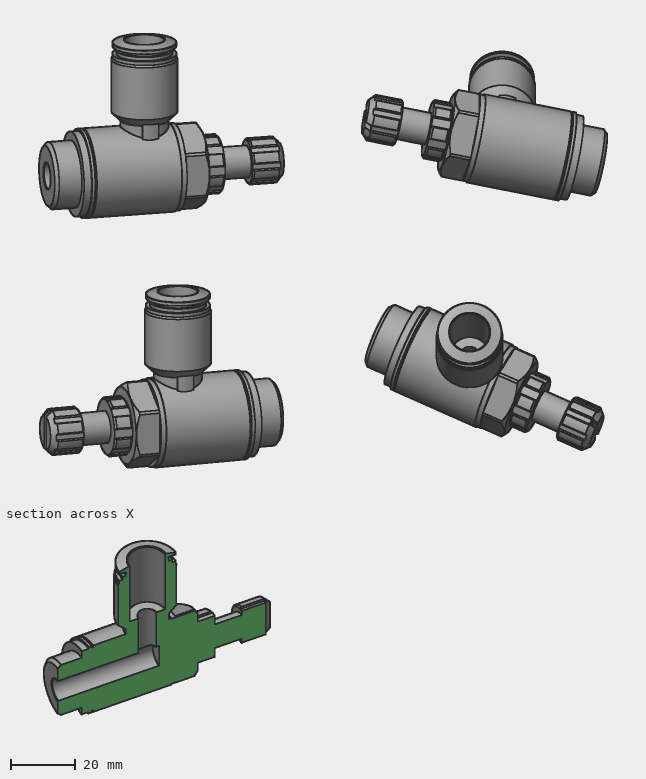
import cadquery as cq
import math

SPIGOT_END = 8.3
FLANGE_END = 10.7
RING_END = 11.7
BODY_START = 12.25
BODY_END = 39.4
HEX_START = 41.05
HEX_END = 48.7
NUT_END = 54.6
KNOB_START = 63.85
KNOB_END = 74.25

SPIGOT_DIA = 20.95
SPIGOT_CHAMFER = 1.1
FLANGE_DIA = 26.4
BODY_DIA = 27.8
COLLAR_DIA = 27.2
STEM_DIA = 10.0
BORE_DIA = 8.0
BORE_CHAMFER = 0.2

HEX_ACROSS_FLATS = 24.05
HEX_CORNER_DIA = 27.25
HEX_CHAMFER_RADIAL = 1.7
HEX_CHAMFER_AXIAL = 1.2

FLUTE_COUNT = 8
NUT_DIA = 18.4
NUT_CHAMFER = 0.6
NUT_FLUTE_DEPTH = 0.6
NUT_FLUTE_WIDTH = 3.9
NUT_FLUTE_FLOOR = 2.75
KNOB_DIA = 14.4
KNOB_TOP_CHAMFER = 1.9
KNOB_BOTTOM_CHAMFER = 0.5
KNOB_FLUTE_DEPTH = 0.5
KNOB_FLUTE_WIDTH = 2.75
KNOB_FLUTE_FLOOR = 1.6
SLOT_WIDTH = 1.85
SLOT_DEPTH = KNOB_TOP_CHAMFER

SOCKET_Y = 31.1
NECK_DIA = 15.0
CUP_DIA = 20.5
CUP_START = 18.5
CUP_END = 35.1
RIM_DIA = 19.8
RIM_START = 35.8
RIM_END = 36.9
STEP_DIA = 17.4
STEP_END = 38.0
RELIEF_DIA = 14.85
RELIEF_START = 38.9
CAP_START = 39.35
CAP_EDGE = 40.4
CAP_BREAK = 0.15
CAP_TOP = 41.4
CAP_TOP_DIA = 12.8
SOCKET_BORE_DIA = 12.2
PORT_DIA = 6.0
RIB_DIA = 16.05
RIB_WIDTH = 5.2


def revolve_about_y(profile):
    """Solid of revolution about Y from (radius, y) points, closed along the axis."""
    closed = [(0, profile[0][1])] + profile + [(0, profile[-1][1])]
    return cq.Workplane("XY").polyline(closed).close().revolve(360, (0, 0, 0), (0, 1, 0))


def revolve_about_z(profile):
    """Solid of revolution about Z through the socket axis from (radius, z) points."""
    closed = [(0, profile[0][1])] + profile + [(0, profile[-1][1])]
    turned = cq.Workplane("XZ").polyline(closed).close().revolve(360, (0, 0, 0), (0, 1, 0))
    return turned.translate((0, SOCKET_Y, 0))


def cut_flutes(blank, diameter, start, end, depth, width, floor_width):
    """Cut equally spaced trapezoidal flutes along a round blank on the Y axis."""
    floor = diameter / 2 - depth
    flank_slope = (width - floor_width) / depth
    outer_width = floor_width + 2 * depth * flank_slope
    flute = (
        cq.Workplane("XZ", origin=(0, end, 0))
        .polyline([
            (-floor_width / 2, floor),
            (floor_width / 2, floor),
            (outer_width / 2, floor + 2 * depth),
            (-outer_width / 2, floor + 2 * depth),
        ])
        .close()
        .extrude(end - start)
    )
    for index in range(FLUTE_COUNT):
        angle = index * 360 / FLUTE_COUNT
        blank = blank.cut(flute.rotate((0, 0, 0), (0, 1, 0), angle))
    return blank


def make_body():
    """Spigot, flange, grooved main cylinder and collar."""
    spigot = SPIGOT_DIA / 2
    flange = FLANGE_DIA / 2
    body = BODY_DIA / 2
    collar = COLLAR_DIA / 2
    return revolve_about_y([
        (spigot - SPIGOT_CHAMFER, 0),
        (spigot, SPIGOT_CHAMFER),
        (spigot, SPIGOT_END),
        (flange, SPIGOT_END),
        (flange, FLANGE_END),
        (body, FLANGE_END),
        (body, RING_END),
        (flange, RING_END),
        (flange, BODY_START),
        (body, BODY_START),
        (body, BODY_END),
        (collar, BODY_END),
        (collar, HEX_START),
    ])


def make_hexagon():
    """Hexagon with corners on Z, trimmed round at the corners and chamfered at its end."""
    corner_distance = HEX_ACROSS_FLATS / math.cos(math.pi / 6)
    prism = (
        cq.Workplane("XZ", origin=(0, HEX_END, 0))
        .polygon(6, corner_distance)
        .extrude(HEX_END - HEX_START)
        .rotate((0, 0, 0), (0, 1, 0), 30)
    )
    corner = HEX_CORNER_DIA / 2
    envelope = revolve_about_y([
        (corner, HEX_START),
        (corner, HEX_END - HEX_CHAMFER_AXIAL),
        (corner - HEX_CHAMFER_RADIAL, HEX_END),
    ])
    return prism.intersect(envelope)


def make_lock_nut():
    radius = NUT_DIA / 2
    blank = revolve_about_y([
        (radius - NUT_CHAMFER, HEX_END),
        (radius, HEX_END + NUT_CHAMFER),
        (radius, NUT_END - NUT_CHAMFER),
        (radius - NUT_CHAMFER, NUT_END),
    ])
    return cut_flutes(
        blank, NUT_DIA, HEX_END, NUT_END, NUT_FLUTE_DEPTH, NUT_FLUTE_WIDTH, NUT_FLUTE_FLOOR
    )


def make_stem():
    return revolve_about_y([(STEM_DIA / 2, NUT_END), (STEM_DIA / 2, KNOB_START)])


def make_knob():
    """Fluted knob with a screwdriver slot across its end, along Z."""
    radius = KNOB_DIA / 2
    blank = revolve_about_y([
        (radius - KNOB_BOTTOM_CHAMFER, KNOB_START),
        (radius, KNOB_START + KNOB_BOTTOM_CHAMFER),
        (radius, KNOB_END - KNOB_TOP_CHAMFER),
        (radius - KNOB_TOP_CHAMFER, KNOB_END),
    ])
    knob = cut_flutes(
        blank, KNOB_DIA, KNOB_START, KNOB_END, KNOB_FLUTE_DEPTH, KNOB_FLUTE_WIDTH, KNOB_FLUTE_FLOOR
    )
    slot = cq.Workplane("XY").box(SLOT_WIDTH, 2 * SLOT_DEPTH, KNOB_DIA).translate((0, KNOB_END, 0))
    return knob.cut(slot)


def make_socket():
    """Neck, tapered cup and edge-broken release cap, with a shallow relief under the cap."""
    neck = NECK_DIA / 2
    cup = CUP_DIA / 2
    rim = RIM_DIA / 2
    step = STEP_DIA / 2
    taper_start = CUP_START - (cup - neck)
    return revolve_about_z([
        (neck, 0),
        (neck, taper_start),
        (cup, CUP_START),
        (cup, CUP_END),
        (rim, RIM_START),
        (rim, RIM_END),
        (step, RIM_END),
        (step, STEP_END),
        (neck, STEP_END),
        (neck, RELIEF_START),
        (RELIEF_DIA / 2, RELIEF_START),
        (RELIEF_DIA / 2, CAP_START),
        (rim, CAP_START),
        (rim, CAP_EDGE),
        (rim - CAP_BREAK, CAP_EDGE + CAP_BREAK),
        (CAP_TOP_DIA / 2, CAP_TOP),
    ])


def make_neck_ribs():
    """Round-faced ribs on the +X and -X sides of the neck, rising into the taper."""
    disc = revolve_about_z([(RIB_DIA / 2, 0), (RIB_DIA / 2, CUP_START)])
    band = cq.Workplane("XY").box(RIB_DIA, RIB_WIDTH, 2 * CUP_START).translate((0, SOCKET_Y, 0))
    rib_top = CUP_START - (CUP_DIA - RIB_DIA) / 2
    below_taper = (
        cq.Workplane("XY").box(RIB_DIA, RIB_DIA, rib_top, centered=(True, True, False))
        .translate((0, SOCKET_Y, 0))
    )
    return disc.intersect(band).intersect(below_taper)


def make_main_bore():
    """Blind bore from the spigot face to just past the socket axis."""
    radius = BORE_DIA / 2
    return revolve_about_y([
        (radius + BORE_CHAMFER, 0),
        (radius, BORE_CHAMFER),
        (radius, SOCKET_Y + radius),
    ])


def make_socket_bore():
    """Tube bore with a lead-in at the cap and a smaller port down to the main bore."""
    lead_in = (CAP_TOP_DIA - SOCKET_BORE_DIA) / 2
    bore = SOCKET_BORE_DIA / 2
    return revolve_about_z([
        (PORT_DIA / 2, 0),
        (PORT_DIA / 2, CUP_START),
        (bore, CUP_START),
        (bore, CAP_TOP - lead_in),
        (bore + lead_in, CAP_TOP),
    ])


result = (
    make_body()
    .union(make_hexagon())
    .union(make_lock_nut())
    .union(make_stem())
    .union(make_knob())
    .union(make_socket())
    .union(make_neck_ribs())
    .cut(make_main_bore())
    .cut(make_socket_bore())
)